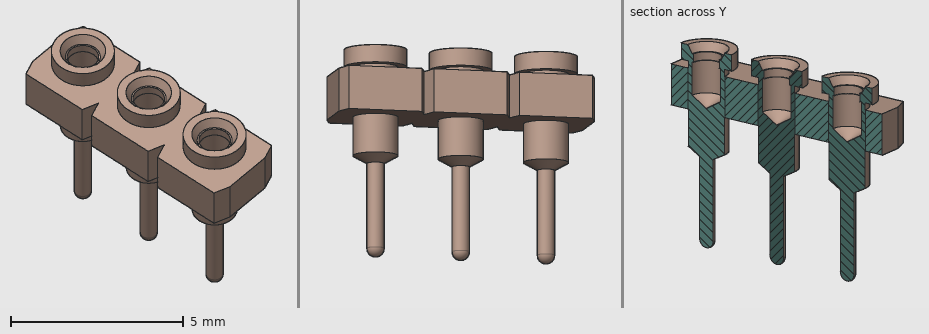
import cadquery as cq
import math

PIN_COUNT = 3
LENGTH = 7.62
PITCH = LENGTH / PIN_COUNT
WIDTH = PITCH
HOUSING_HEIGHT = PITCH / 2
NOTCH_HALF_WIDTH = 0.18
NOTCH_DEPTH = 0.5

HEAD_RADIUS = 1.83 / 2
BARREL_RADIUS = 1.32 / 2
TAIL_RADIUS = 0.51 / 2
PIN_LENGTH = 6.1
HEAD_HEIGHT = 0.51
NECK_HEIGHT = 0.205
BARREL_DROP = 1.135
TAPER_HEIGHT = 0.23

MOUTH_RADIUS = BARREL_RADIUS
LEDGE_RADIUS = 1.01 / 2
BORE_RADIUS = 0.915 / 2
COUNTERSINK_DEPTH = 0.25
LIP_DEPTH = 0.51
BORE_DEPTH = 1.525
DRILL_POINT_ANGLE = 118.0

HEAD_BOTTOM = HOUSING_HEIGHT + NECK_HEIGHT
PIN_TOP = HEAD_BOTTOM + HEAD_HEIGHT
BARREL_BOTTOM = -BARREL_DROP
TAIL_TOP = BARREL_BOTTOM - TAPER_HEIGHT
TIP_BOTTOM = PIN_TOP - PIN_LENGTH
TIP_CENTER = TIP_BOTTOM + TAIL_RADIUS
LEDGE_LEVEL = PIN_TOP - COUNTERSINK_DEPTH
LIP_BOTTOM = PIN_TOP - LIP_DEPTH
FLOOR_EDGE = PIN_TOP - BORE_DEPTH
FLOOR_APEX = FLOOR_EDGE - LEDGE_RADIUS / math.tan(math.radians(DRILL_POINT_ANGLE / 2))

PIN_POSITIONS = [((i - (PIN_COUNT - 1) / 2) * PITCH, 0) for i in range(PIN_COUNT)]


def make_segment(x):
    """One pitch of the strip: a rectangle with its four corners cut off."""
    half_length = PITCH / 2
    half_width = WIDTH / 2
    face_x = half_length - NOTCH_HALF_WIDTH
    waist_y = half_width - NOTCH_DEPTH
    outline = [
        (x - half_length, -waist_y),
        (x - face_x, -half_width),
        (x + face_x, -half_width),
        (x + half_length, -waist_y),
        (x + half_length, waist_y),
        (x + face_x, half_width),
        (x - face_x, half_width),
        (x - half_length, waist_y),
    ]
    return cq.Workplane("XY").polyline(outline).close().extrude(HOUSING_HEIGHT)


def make_housing():
    """Joined segments, so that neighbouring corner cuts form V notches, with a hole per pin."""
    strip = cq.Workplane("XY")
    for x, _ in PIN_POSITIONS:
        strip = strip.add(make_segment(x))
    holes = cq.Workplane("XY").pushPoints(PIN_POSITIONS).circle(BARREL_RADIUS).extrude(HOUSING_HEIGHT)
    return strip.combine(clean=True).cut(holes)


def make_pin(x, y):
    """Turned socket pin with a round tail tip, revolved from its half section."""
    tip_mid = TAIL_RADIUS * math.sqrt(0.5)
    section = (
        cq.Workplane("XZ")
        .moveTo(0, TIP_BOTTOM)
        .threePointArc((tip_mid, TIP_CENTER - tip_mid), (TAIL_RADIUS, TIP_CENTER))
        .lineTo(TAIL_RADIUS, TAIL_TOP)
        .lineTo(BARREL_RADIUS, BARREL_BOTTOM)
        .lineTo(BARREL_RADIUS, HEAD_BOTTOM)
        .lineTo(HEAD_RADIUS, HEAD_BOTTOM)
        .lineTo(HEAD_RADIUS, PIN_TOP)
        .lineTo(MOUTH_RADIUS, PIN_TOP)
        .lineTo(LEDGE_RADIUS, LEDGE_LEVEL)
        .lineTo(BORE_RADIUS, LEDGE_LEVEL)
        .lineTo(BORE_RADIUS, LIP_BOTTOM)
        .lineTo(LEDGE_RADIUS, LIP_BOTTOM)
        .lineTo(LEDGE_RADIUS, FLOOR_EDGE)
        .lineTo(0, FLOOR_APEX)
        .close()
    )
    return section.revolve(360, (0, 0, 0), (0, 1, 0)).translate((x, y, 0))


housing = make_housing()
pins = [make_pin(x, y) for x, y in PIN_POSITIONS]

result = cq.Compound.makeCompound([housing.val(), *[pin.val() for pin in pins]])